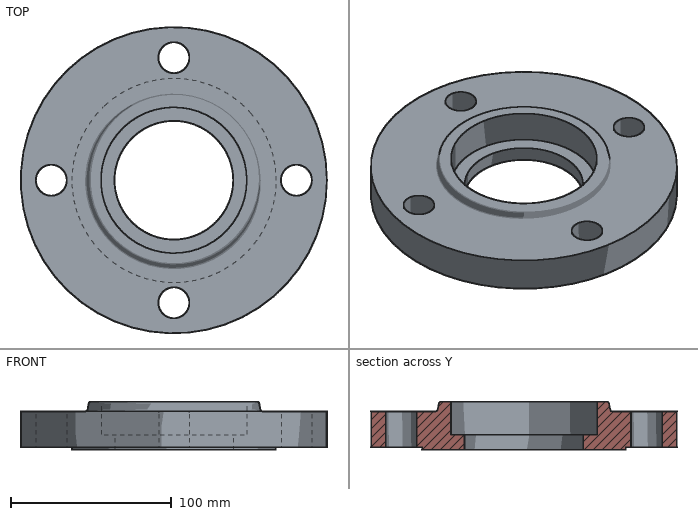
import cadquery as cq
import math

flange_diameter = 190.5
flange_height = 24.0
overall_height = 30.04

raised_face_diameter = 127.0
raised_face_height = 1.6

hub_base_diameter = 108.0
hub_taper_angle = 10.0
hub_fillet_radius = 1.5
hub_edge_radius = 1.6

bore_diameter = 73.7
socket_diameter = 90.7
socket_depth = 20.6

bolt_hole_diameter = 19.1
bolt_circle_diameter = 152.4
bolt_hole_count = 4

hub_height = overall_height - flange_height
hub_top_diameter = hub_base_diameter - 2 * hub_height * math.tan(math.radians(hub_taper_angle))


def disc(diameter, bottom, height):
    """Solid cylinder on the Z axis."""
    return cq.Workplane("XY").workplane(offset=bottom).circle(diameter / 2).extrude(height)


def make_body():
    """Raised face, flange plate and hub with its root fillet and rounded rim."""
    raised_face = disc(raised_face_diameter, 0, raised_face_height)
    plate = disc(flange_diameter, raised_face_height, flange_height - raised_face_height)
    hub = (
        cq.Workplane("XY").workplane(offset=flange_height)
        .circle(hub_base_diameter / 2)
        .workplane(offset=hub_height).circle(hub_top_diameter / 2)
        .loft(ruled=True)
    )
    hub = hub.faces(">Z").edges().fillet(hub_edge_radius)
    body = raised_face.union(plate).union(hub)
    plate_top_point = (flange_diameter / 2, 0, flange_height)
    plate_top = body.faces(cq.selectors.NearestToPointSelector(plate_top_point))
    return plate_top.edges(cq.selectors.RadiusNthSelector(0)).fillet(hub_fillet_radius)


def cut_bore(body):
    """Through bore with the wider pipe socket from the top."""
    bore = disc(bore_diameter, 0, overall_height)
    socket = disc(socket_diameter, overall_height - socket_depth, socket_depth)
    return body.cut(bore).cut(socket)


def cut_bolt_holes(body):
    """Through holes evenly spaced on the bolt circle, starting on +X."""
    holes = (
        cq.Workplane("XY")
        .polarArray(bolt_circle_diameter / 2, 0, 360, bolt_hole_count)
        .circle(bolt_hole_diameter / 2)
        .extrude(flange_height)
    )
    return body.cut(holes)


result = cut_bolt_holes(cut_bore(make_body()))